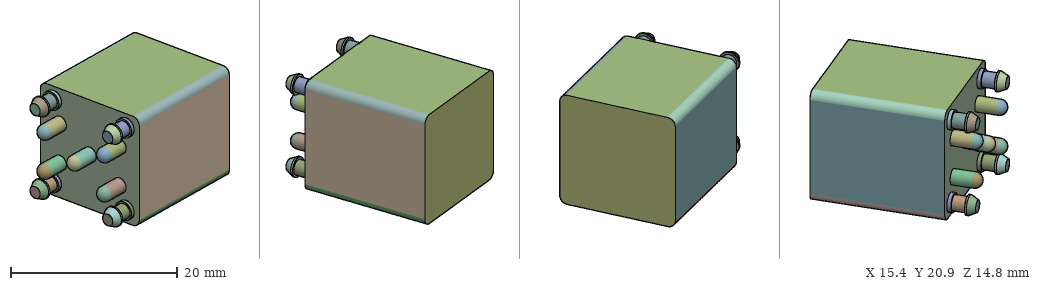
import cadquery as cq

body_width = 15.4
body_height = 14.8
overall_length = 20.93
corner_radius = 1.0

pin_diameter = 2.0
pin_length = 3.8
pin_spacing_x = 9.3
pin_spacing_z = 5.3

peg_spacing_x = 11.3
peg_spacing_z = 11.2
collar_diameter = 2.5
collar_end = 0.5
neck_diameter = 2.0
barb_start = 2.24
barb_diameter = 2.6
taper_start = 2.5
peg_length = 3.5
tip_diameter = 1.6

body_length = overall_length - pin_length
embed_depth = 0.2


def corners(spacing_x, spacing_z):
    """Return the four (x, z) corners of a centred rectangle."""
    return [(i * spacing_x / 2, j * spacing_z / 2) for i in (-1, 1) for j in (-1, 1)]


def make_body():
    """Build the block, rounded along its four lengthwise edges."""
    block = cq.Workplane("XY").box(body_width, body_length, body_height)
    return block.edges("|Y").fillet(corner_radius).translate((0, body_length / 2, 0))


def revolve_about_y(half_profile):
    """Turn a closed half profile into a solid about the Y axis."""
    return half_profile.close().revolve(360, (0, 0, 0), (0, 1, 0))


def make_pin():
    """Build a round pin pointing along -Y."""
    radius = pin_diameter / 2
    dome_start = pin_length - radius
    half_profile = (
        cq.Workplane("XY")
        .moveTo(0, embed_depth)
        .lineTo(radius, embed_depth)
        .lineTo(radius, -dome_start)
        .radiusArc((0, -pin_length), radius)
    )
    return revolve_about_y(half_profile)


def make_peg():
    """Build a barbed peg pointing along -Y."""
    half_profile = (
        cq.Workplane("XY")
        .moveTo(0, embed_depth)
        .lineTo(collar_diameter / 2, embed_depth)
        .lineTo(collar_diameter / 2, -collar_end)
        .lineTo(neck_diameter / 2, -collar_end)
        .lineTo(neck_diameter / 2, -barb_start)
        .lineTo(barb_diameter / 2, -barb_start)
        .lineTo(barb_diameter / 2, -taper_start)
        .lineTo(tip_diameter / 2, -peg_length)
        .lineTo(0, -peg_length)
    )
    return revolve_about_y(half_profile)


result = make_body()

pin = make_pin()
for x, z in [(0, 0)] + corners(pin_spacing_x, pin_spacing_z):
    result = result.union(pin.translate((x, 0, z)))

peg = make_peg()
for x, z in corners(peg_spacing_x, peg_spacing_z):
    result = result.union(peg.translate((x, 0, z)))

result = result.translate((0, pin_length - overall_length / 2, 0))